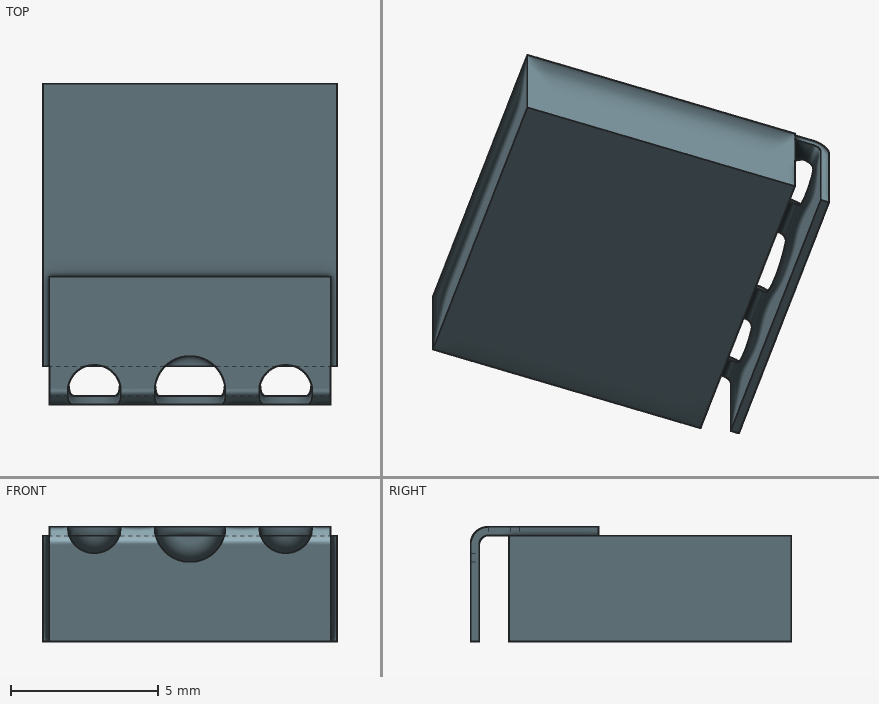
import cadquery as cq

body_width = 10.0
body_depth = 9.6
body_height = 3.6

sheet = 0.3
cover_width = 9.55
flange_length = 4.35
front_gap = 1.0
bend_inner_radius = 0.3

side_window_radius = 0.9
center_window_radius = 1.2
side_window_offset = 3.25
window_center_past_bend = 0.15

cover_top = body_height + sheet
wall_back = -front_gap
wall_front = wall_back - sheet
flange_back = wall_front + flange_length
bend_outer_radius = bend_inner_radius + sheet
bend_line = wall_front + bend_outer_radius


def make_body():
    """Plain block behind the cover wall."""
    return cq.Workplane("XY").box(
        body_width, body_depth, body_height, centered=(True, False, False)
    )


def make_bent_sheet():
    """L-shaped sheet with concentric inner and outer bend radii."""
    half_width = cover_width / 2
    bend_start = cover_top - bend_outer_radius
    return (
        cq.Workplane("YZ")
        .workplane(offset=-half_width)
        .moveTo(wall_front, 0)
        .lineTo(wall_front, bend_start)
        .radiusArc((bend_line, cover_top), bend_outer_radius)
        .lineTo(flange_back, cover_top)
        .lineTo(flange_back, body_height)
        .lineTo(bend_line, body_height)
        .radiusArc((wall_back, bend_start), -bend_inner_radius)
        .lineTo(wall_back, 0)
        .close()
        .extrude(cover_width)
    )


def make_window(center_x, radius):
    """Cutter: a vertical bore in the flange and a bore along Y through bend and wall."""
    flange_bore = (
        cq.Workplane("XY")
        .workplane(offset=body_height)
        .center(center_x, bend_line - window_center_past_bend)
        .circle(radius)
        .extrude(sheet)
    )
    behind_bend = cq.Workplane("XY").box(
        body_width, flange_length, cover_top, centered=(True, False, False)
    ).translate((0, bend_line, 0))
    wall_bore = (
        cq.Workplane("XZ", origin=(0, bend_line, 0))
        .center(center_x, cover_top)
        .circle(radius)
        .extrude(bend_outer_radius)
    )
    return flange_bore.intersect(behind_bend).union(wall_bore)


cover = make_bent_sheet()
cover = cover.cut(make_window(0, center_window_radius))
for side in (-1, 1):
    cover = cover.cut(make_window(side * side_window_offset, side_window_radius))

result = make_body().union(cover)